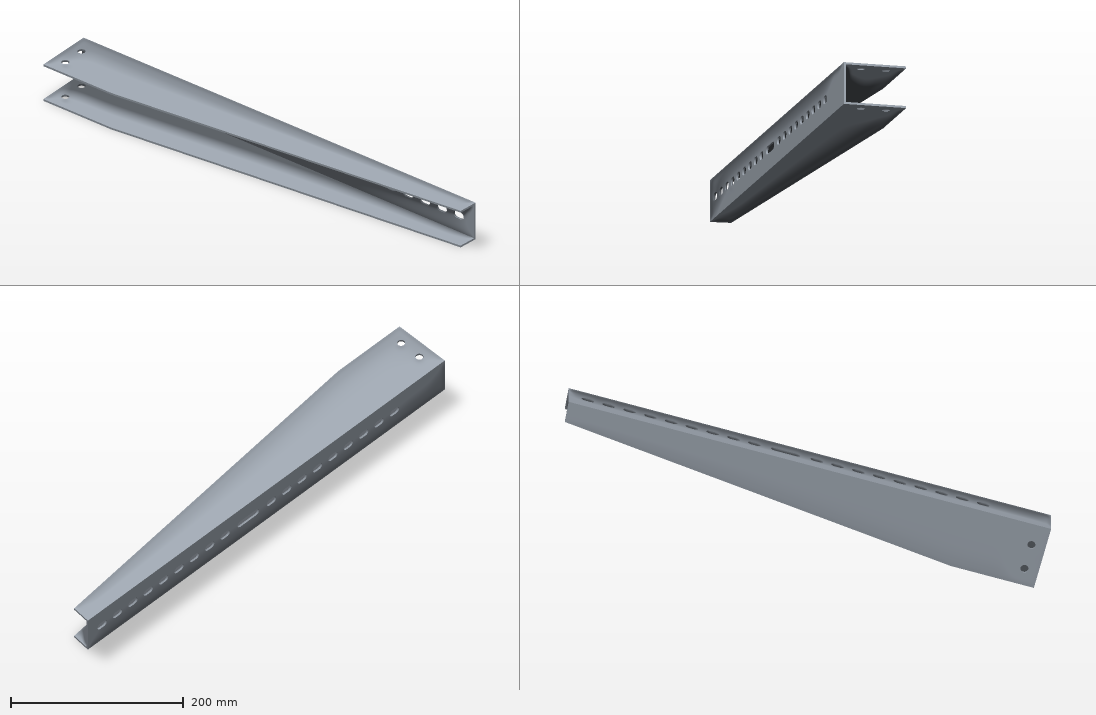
import cadquery as cq

length = 580.0
depth = 75.0
height = 50.0
wall = 2.5

root_length = 100.0
tip_depth = 25.0
tip_setback = 2.5

hole_diameter = 9.0
hole_x = 17.0
hole_setbacks = (25.0, 55.0)

slot_width = 9.0
slot_length = 15.0
long_slot_length = 35.0
first_slot_x = 82.0
last_slot_x = 557.0
slots_per_group = 9
group_gap_pitches = 3
row_pitches = 2 * (slots_per_group - 1) + group_gap_pitches
slot_pitch = (last_slot_x - first_slot_x) / row_pitches


def channel():
    """U-shaped channel with both flanges trimmed to the tapered outline."""
    outline = [
        (0, 0),
        (length, 0),
        (length - tip_setback, -tip_depth),
        (root_length, -depth),
        (0, -depth),
    ]
    body = cq.Workplane("XY").polyline(outline).close().extrude(height)
    inside = (
        cq.Workplane("XY")
        .box(length, depth, height - 2 * wall, centered=False)
        .translate((0, -depth - wall, wall))
    )
    return body.cut(inside)


def flange_holes():
    """Cylinders crossing both flanges."""
    centers = [(hole_x, -setback) for setback in hole_setbacks]
    return cq.Workplane("XY").pushPoints(centers).circle(hole_diameter / 2).extrude(height)


def web_slots(x_positions, overall_length):
    """Round-ended slots on the web's centerline, lengthwise along X."""
    centers = [(x, height / 2) for x in x_positions]
    return (
        cq.Workplane("XZ")
        .pushPoints(centers)
        .slot2D(overall_length, slot_width)
        .extrude(wall)
    )


row_middle = (first_slot_x + last_slot_x) / 2
short_slot_positions = []
for i in range(slots_per_group):
    short_slot_positions.append(first_slot_x + i * slot_pitch)
    short_slot_positions.append(last_slot_x - i * slot_pitch)

result = (
    channel()
    .cut(flange_holes())
    .cut(web_slots(short_slot_positions, slot_length))
    .cut(web_slots([row_middle], long_slot_length))
)